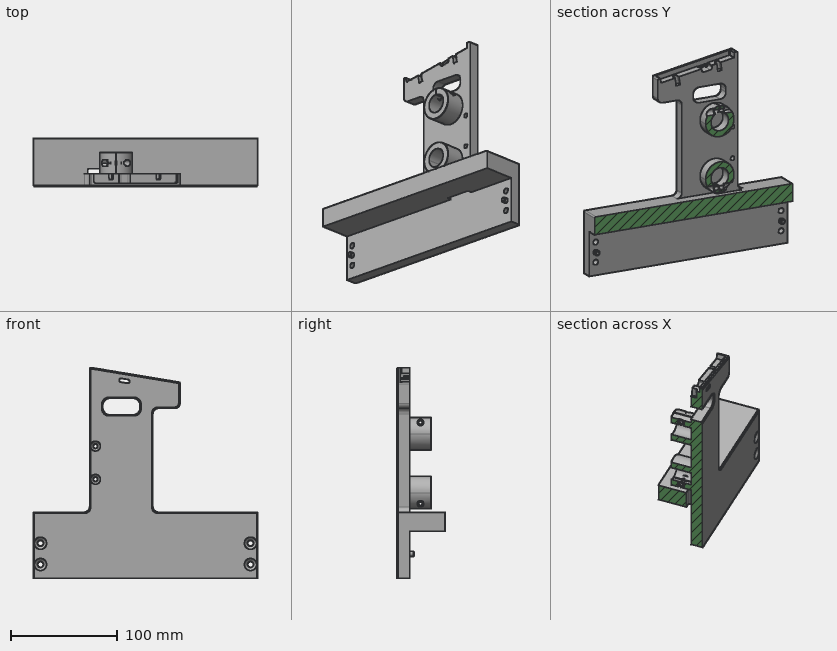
import cadquery as cq
import math


base_length = 210.0
base_height = 62.0
overall_height = 197.2
plate_thickness = 12.0
neck_left = 52.65
neck_right = 112.0
head_right = 137.3
head_underside = 159.0
top_slope = math.radians(9.4)
outline_radius = 5.0
tip_radius = 1.5
base_corner_radius = 1.2
front_chamfer = 1.2

overall_depth = 45.0
shelf_thickness = 18.0
cable_slot_left = 51.2
cable_slot_right = 77.2
cable_slot_width = 4.6
cable_slot_radius = 1.0

ring_x = 77.4
lower_ring_z = 80.3
upper_ring_z = 135.3
ring_diameter = 30.5
ring_length = 20.0
ring_bore = 18.0
ring_edge_chamfer = 0.3
ring_slit = 0.8
clamp_screw_offset = 10.5
clamp_screw_diameter = 3.3
screw_head_diameter = 5.9
nut_across_corners = 6.8
clamp_seat_distance = 5.0

handle_x = 82.5
handle_z = 160.7
handle_length = 34.6
handle_height = 15.2
handle_radius = 6.1

base_screw_inset = 6.8
base_screw_heights = (13.0, 32.9)
base_screw_diameter = 5.3
base_sink_diameter = 11.4
neck_screw_x = 58.2
neck_screw_heights = (92.7, 123.7)
neck_screw_diameter = 4.0
neck_sink_diameter = 9.2
countersink_angle = 90.0

pin_diameter = 5.0
pin_length = 4.0
pin_chamfer = 0.8

pocket_left = 57.5
pocket_right = 134.4
pocket_front = 3.3
pocket_depth = 5.0
pocket_flare = 0.9
pocket_corner_chamfer = 1.2
groove_positions = (73.7, 117.9)
groove_width = 4.2
groove_front = 6.3
groove_depth = 8.0
groove_corner_radius = 2.0
window_x = 86.4
window_length = 9.6
window_height = 3.3
window_drop = 7.2
channel_width = 10.8
channel_corner_radius = 2.1


def top_edge_height(x):
    """Height of the sloped top edge at x; the rounded left tip peaks at the overall height."""
    tip_rounding_loss = tip_radius * (math.tan(top_slope) + 1 / math.cos(top_slope) - 1)
    return overall_height + tip_rounding_loss - (x - neck_left) * math.tan(top_slope)


def back_of(y):
    """Sketch plane facing -Y at depth y: local x is X, local y is Z."""
    return cq.Workplane("XZ", origin=(0, y, 0))


def block(x_range, y_range, z_range):
    """Box given by its limits along each axis."""
    size = [high - low for low, high in (x_range, y_range, z_range)]
    corner = (x_range[0], y_range[0], z_range[0])
    return cq.Workplane("XY").box(*size, centered=False).translate(corner)


def cylinder_along_y(x, z, y_start, length, diameter):
    return back_of(y_start).center(x, z).circle(diameter / 2).extrude(-length)


def tilt_with_top(shape, x):
    """Move a shape built at the origin onto the top edge at x, aligned with its slope."""
    tilted = shape.rotate((0, 0, 0), (0, 1, 0), math.degrees(top_slope))
    return tilted.translate((x, 0, top_edge_height(x)))


def edge_along_y(x, z):
    """Selector for the plate edge that runs along Y at (x, z)."""
    return cq.selectors.NearestToPointSelector((x, plate_thickness / 2, z))


def fillet_corners(plate, corners, radius):
    for x, z in corners:
        plate = plate.edges(edge_along_y(x, z)).fillet(radius)
    return plate


def make_plate():
    neck_feet = [(neck_right, base_height), (neck_left, base_height)]
    head_corners = [(neck_right, head_underside), (head_right, head_underside)]
    tips = [(head_right, top_edge_height(head_right)), (neck_left, top_edge_height(neck_left))]
    base_corners = [(base_length, base_height), (0, base_height)]
    outline = [
        (0, 0),
        (base_length, 0),
        base_corners[0],
        neck_feet[0],
        *head_corners,
        *tips,
        neck_feet[1],
        base_corners[1],
    ]
    plate = back_of(0).polyline(outline).close().extrude(-plate_thickness)
    plate = fillet_corners(plate, neck_feet + head_corners, outline_radius)
    plate = fillet_corners(plate, tips, tip_radius)
    plate = fillet_corners(plate, base_corners, base_corner_radius)
    return plate.faces("<Y").edges("not <Z").chamfer(front_chamfer)


def make_shelf():
    shelf = block(
        (0, base_length),
        (plate_thickness, overall_depth),
        (base_height - shelf_thickness, base_height),
    )
    shelf = shelf.edges("|Y and >Z").fillet(base_corner_radius)
    slot = block(
        (cable_slot_left, cable_slot_right),
        (plate_thickness, plate_thickness + cable_slot_width),
        (base_height - shelf_thickness, base_height),
    )
    return shelf.cut(slot.edges("|Z and >Y").fillet(cable_slot_radius))


def make_clamp_ring(z, side):
    """Split ring whose slit and clamp screw are above (side=1) or below (side=-1) its axis."""
    radius = ring_diameter / 2
    screw_z = z + side * clamp_screw_offset
    screw_y = plate_thickness + ring_length / 2

    ring = cylinder_along_y(ring_x, z, plate_thickness, ring_length, ring_diameter)
    ring = ring.faces(">Y").chamfer(ring_edge_chamfer)
    ring = ring.cut(cylinder_along_y(ring_x, z, plate_thickness, ring_length, ring_bore))
    slit = block(
        (ring_x - ring_slit / 2, ring_x + ring_slit / 2),
        (plate_thickness, plate_thickness + ring_length),
        sorted((z, z + side * radius)),
    )
    across = cq.Workplane("YZ", origin=(ring_x, screw_y, screw_z))
    screw_hole = across.circle(clamp_screw_diameter / 2).extrude(radius, both=True)
    head_seat = across.workplane(offset=clamp_seat_distance)
    head_seat = head_seat.circle(screw_head_diameter / 2).extrude(radius)
    nut_seat = across.workplane(offset=-clamp_seat_distance).transformed(rotate=(0, 0, 90))
    nut_seat = nut_seat.polygon(6, nut_across_corners).extrude(-radius)
    return ring.cut(slit).cut(screw_hole).cut(head_seat).cut(nut_seat)


def make_pin(x):
    """Locating pin midway between the two screw holes at one end of the base."""
    pin_z = sum(base_screw_heights) / len(base_screw_heights)
    pin = cylinder_along_y(x, pin_z, plate_thickness, pin_length, pin_diameter)
    return pin.faces(">Y").chamfer(pin_chamfer)


def cut_handle(body):
    """Rounded handle opening with a chamfered front rim."""
    opening = back_of(0).center(handle_x, handle_z).rect(handle_length, handle_height)
    opening = opening.extrude(-plate_thickness).edges("|Y").fillet(handle_radius)
    rim = opening.faces("<Y").wires().toPending().workplane().offset2D(front_chamfer)
    rim = rim.extrude(-front_chamfer, taper=45)
    return body.cut(opening).cut(rim)


def cut_countersunk_hole(body, x, z, diameter, sink_diameter):
    sink_depth = (sink_diameter - diameter) / 2 / math.tan(math.radians(countersink_angle / 2))
    hole = cylinder_along_y(x, z, 0, plate_thickness, diameter)
    sink = cq.Solid.makeCone(
        sink_diameter / 2, diameter / 2, sink_depth, pnt=cq.Vector(x, 0, z), dir=cq.Vector(0, 1, 0)
    )
    return body.cut(hole).cut(cq.Workplane(sink))


def cut_top_pocket(body):
    """Pocket along the top edge, with two grooves and a window channel in its floor."""
    centre = (pocket_left + pocket_right) / 2
    half_length = (pocket_right - pocket_left) / 2 / math.cos(top_slope)
    profile = [
        (-half_length, -pocket_depth),
        (half_length, -pocket_depth),
        (half_length + pocket_flare, 0),
        (-half_length - pocket_flare, 0),
    ]
    pocket = back_of(pocket_front).polyline(profile).close().extrude(pocket_front - plate_thickness)
    pocket = pocket.faces("<X or >X").edges("<Y").chamfer(pocket_corner_chamfer)
    body = body.cut(tilt_with_top(pocket, centre))

    for x in groove_positions:
        groove = block(
            (-groove_width / 2, groove_width / 2),
            (groove_front, plate_thickness),
            (-pocket_depth - groove_depth, 0),
        )
        groove = groove.edges("|Z and <Y").fillet(groove_corner_radius)
        body = body.cut(tilt_with_top(groove, x))

    channel_floor = -window_drop - window_height / 2
    channel = block(
        (-channel_width / 2, channel_width / 2), (pocket_front, plate_thickness), (channel_floor, 0)
    )
    channel = channel.edges("|Y and <Z").fillet(channel_corner_radius)
    window = back_of(0).center(0, -window_drop).slot2D(window_length, window_height)
    window = window.extrude(-plate_thickness)
    return body.cut(tilt_with_top(channel.union(window), window_x))


body = make_plate().union(make_shelf())
body = cut_handle(body)
body = cut_top_pocket(body)

for x in (base_screw_inset, base_length - base_screw_inset):
    for z in base_screw_heights:
        body = cut_countersunk_hole(body, x, z, base_screw_diameter, base_sink_diameter)
    body = body.union(make_pin(x))
for z in neck_screw_heights:
    body = cut_countersunk_hole(body, neck_screw_x, z, neck_screw_diameter, neck_sink_diameter)

body = body.union(make_clamp_ring(upper_ring_z, 1))
body = body.union(make_clamp_ring(lower_ring_z, -1))

result = body